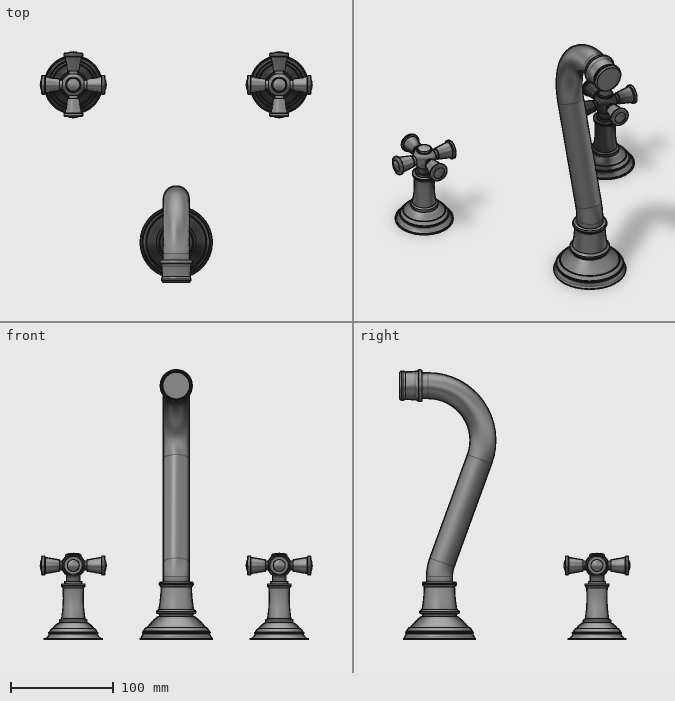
import cadquery as cq
import math

OVERALL_WIDTH = 264.2
HANDLE_SPACING = 200.0
HANDLE_OFFSET_Y = 153.0

FOOT_R = 28.3
FOOT_TOP_Z = 0.8
FOOT_LEDGE_R = 27.0
FOOT_COVE_R = 24.8
FOOT_COVE_Z = 2.6
BAND_R = 23.3
BAND_BOTTOM_Z = 5.3
BAND_TOP_Z = 7.5
BAND_FLAT = 0.65
BAND_CROWN_R = 24.0
CONE_BASE_R = 21.0
CONE_BASE_Z = 10.5
CONE_STEP = 0.8
CONE_MID_R = 17.5
CONE_MID_Z = 13.7
CONE_TOP_R = 13.2
CONE_TOP_Z = 16.5
LOWER_BEAD_R = 13.5
LOWER_BEAD_TOP_Z = 19.0
COLUMN_BASE_R = 11.4
COLUMN_BASE_Z = 20.3
COLUMN_WAIST_R = 9.8
COLUMN_WAIST_Z = 37.0
COLUMN_TOP_R = 10.0
COLUMN_TOP_Z = 50.0
UPPER_COLLAR_R = 11.5
UPPER_COLLAR_BOTTOM_Z = 51.3
UPPER_COLLAR_MID_Z = 52.5
UPPER_COLLAR_TOP_Z = 54.0
UPPER_COLLAR_EDGE_R = 11.0
CAP_DISC_R = 8.5
CAP_DISC_TOP_Z = 56.5
STEM_R = 6.5

HUB_Z = 72.0
HUB_R = 11.4
BUTTON_R = 7.5
BUTTON_RIM_Z = 82.0
BUTTON_DOME_R = 6.3
BUTTON_DOME_Z = 83.0
BUTTON_TOP_Z = 83.8

ARM_COUNT = 4
ARM_NECK_R = 4.5
ARM_CONE_START = 13.5
ARM_CONE_START_R = 5.5
ARM_CONE_END = 27.2
ARM_CONE_END_R = 8.0
ARM_RIM_R = 9.2
ARM_RIM_START = 28.0
ARM_RIM_END = 30.7
ARM_RIM_ROUND = 1.0
ARM_DOME_R = 5.8
ARM_REACH = (OVERALL_WIDTH - HANDLE_SPACING) / 2

SPOUT_FOOT_R = 35.1
SPOUT_FOOT_TOP_Z = 0.8
SPOUT_LEDGE_R = 33.8
SPOUT_LEDGE_Z = 2.5
SPOUT_BAND_R = 32.2
SPOUT_BAND_BOTTOM_Z = 5.5
SPOUT_BAND_TOP_Z = 8.2
SPOUT_BAND_FLAT = 0.8
SPOUT_BAND_MID_Z = (SPOUT_BAND_BOTTOM_Z + SPOUT_BAND_TOP_Z) / 2
SPOUT_BAND_CROWN_R = 33.0
SPOUT_CONE_BASE_R = 29.5
SPOUT_CONE_BASE_Z = 11.5
SPOUT_CONE_STEP = 1.0
SPOUT_CONE_MID_R = 23.5
SPOUT_CONE_MID_Z = 17.5
SPOUT_CONE_TOP_R = 17.5
SPOUT_CONE_TOP_Z = 22.5
SPOUT_NECK_R = 16.5
SPOUT_NECK_TOP_Z = 24.5
SPOUT_LOWER_BEAD_R = 19.3
SPOUT_LOWER_BEAD_BOTTOM_Z = 25.5
SPOUT_LOWER_BEAD_TOP_Z = 27.2
SPOUT_COLUMN_BASE_R = 17.0
SPOUT_COLUMN_BASE_Z = 29.3
SPOUT_COLUMN_MID_R = 15.3
SPOUT_COLUMN_MID_Z = 41.0
SPOUT_COLUMN_TOP_R = 14.8
SPOUT_COLUMN_TOP_Z = 51.0
SPOUT_UPPER_COLLAR_R = 16.6
SPOUT_UPPER_COLLAR_BOTTOM_Z = 52.0
SPOUT_UPPER_COLLAR_TOP_Z = 55.8
SPOUT_UPPER_COLLAR_EDGE_R = 15.9
SPOUT_UPPER_COLLAR_RIM_BOTTOM_Z = 53.5
SPOUT_UPPER_COLLAR_RIM_TOP_Z = 54.5

TUBE_R = 12.7
LOWER_BEND_Z = 61.0
LOWER_BEND_R = 40.2
LEAN_ANGLE = math.radians(20)
UPPER_BEND_R = 53.0
OUTLET_Z = 246.5

NOZZLE_START = 17.2
NOZZLE_COLLAR_R = 15.5
NOZZLE_COLLAR_EDGE_R = 14.8
NOZZLE_COLLAR_ROUND = 2.6
NOZZLE_COLLAR_ROUND_END = 19.5
NOZZLE_COLLAR_END = 20.3
NOZZLE_COVE_R = 14.5
NOZZLE_COVE_MID = 21.5
NOZZLE_SLEEVE_START_R = 14.0
NOZZLE_SLEEVE_START = 23.5
NOZZLE_SLEEVE_END_R = 13.5
NOZZLE_SLEEVE_END = 33.0
NOZZLE_LIP_R = 14.3
NOZZLE_LIP_START = 35.5
NOZZLE_LIP_END = 37.0
NOZZLE_FACE_R = 13.0
NOZZLE_END = 38.8


def turn(profile):
    """Revolve a closed profile (radius, height) about the Z axis."""
    return profile.close().revolve(360, (0, 0, 0), (0, 1, 0))


def dome_radius(rim_radius, rise):
    """Sphere radius of a shallow dome with the given rim radius and rise."""
    return (rim_radius**2 + rise**2) / (2 * rise)


def handle_pedestal():
    """Bell foot, waisted column, collar and stem up to the hub centre."""
    profile = (
        cq.Workplane("XZ")
        .lineTo(FOOT_R, 0)
        .lineTo(FOOT_R, FOOT_TOP_Z)
        .lineTo(FOOT_LEDGE_R, FOOT_TOP_Z)
        .threePointArc((FOOT_COVE_R, FOOT_COVE_Z), (BAND_R, BAND_BOTTOM_Z))
        .lineTo(BAND_R, BAND_BOTTOM_Z + BAND_FLAT)
        .threePointArc((BAND_CROWN_R, (BAND_BOTTOM_Z + BAND_TOP_Z) / 2), (BAND_R, BAND_TOP_Z - BAND_FLAT))
        .lineTo(BAND_R, BAND_TOP_Z)
        .lineTo(CONE_BASE_R, CONE_BASE_Z)
        .lineTo(CONE_BASE_R - CONE_STEP, CONE_BASE_Z)
        .threePointArc((CONE_MID_R, CONE_MID_Z), (CONE_TOP_R, CONE_TOP_Z))
        .threePointArc((LOWER_BEAD_R, (CONE_TOP_Z + LOWER_BEAD_TOP_Z) / 2), (CONE_TOP_R, LOWER_BEAD_TOP_Z))
        .lineTo(COLUMN_BASE_R, COLUMN_BASE_Z)
        .threePointArc((COLUMN_WAIST_R, COLUMN_WAIST_Z), (COLUMN_TOP_R, COLUMN_TOP_Z))
        .lineTo(UPPER_COLLAR_EDGE_R, UPPER_COLLAR_BOTTOM_Z)
        .lineTo(UPPER_COLLAR_R, UPPER_COLLAR_MID_Z)
        .lineTo(UPPER_COLLAR_R, UPPER_COLLAR_TOP_Z)
        .lineTo(CAP_DISC_R, UPPER_COLLAR_TOP_Z)
        .lineTo(CAP_DISC_R, CAP_DISC_TOP_Z)
        .lineTo(STEM_R, CAP_DISC_TOP_Z)
        .lineTo(STEM_R, HUB_Z)
        .lineTo(0, HUB_Z)
    )
    return turn(profile)


def handle_hub():
    """Ball at the centre of the cross with a domed button on top."""
    button_profile = (
        cq.Workplane("XZ")
        .moveTo(0, HUB_Z)
        .lineTo(BUTTON_R, HUB_Z)
        .lineTo(BUTTON_R, BUTTON_RIM_Z)
        .lineTo(BUTTON_DOME_R, BUTTON_DOME_Z)
        .radiusArc((0, BUTTON_TOP_Z), -dome_radius(BUTTON_DOME_R, BUTTON_TOP_Z - BUTTON_DOME_Z))
    )
    return cq.Workplane("XY", origin=(0, 0, HUB_Z)).sphere(HUB_R).union(turn(button_profile))


def handle_arm():
    """One arm, turned about Z and then laid along +X at hub height."""
    profile = (
        cq.Workplane("XZ")
        .lineTo(ARM_NECK_R, 0)
        .lineTo(ARM_NECK_R, ARM_CONE_START)
        .lineTo(ARM_CONE_START_R, ARM_CONE_START)
        .lineTo(ARM_CONE_END_R, ARM_CONE_END)
        .lineTo(ARM_RIM_R, ARM_RIM_START)
        .lineTo(ARM_RIM_R, ARM_RIM_END - ARM_RIM_ROUND)
        .radiusArc((ARM_RIM_R - ARM_RIM_ROUND, ARM_RIM_END), -ARM_RIM_ROUND)
        .lineTo(ARM_DOME_R, ARM_RIM_END)
        .radiusArc((0, ARM_REACH), -dome_radius(ARM_DOME_R, ARM_REACH - ARM_RIM_END))
    )
    return turn(profile).rotate((0, 0, 0), (0, 1, 0), 90).translate((0, 0, HUB_Z))


def handle(x, y):
    """One complete cross handle standing at (x, y)."""
    body = handle_pedestal().union(handle_hub())
    arm = handle_arm()
    for index in range(ARM_COUNT):
        body = body.union(arm.rotate((0, 0, 0), (0, 0, 1), index * 360 / ARM_COUNT))
    return body.translate((x, y, 0))


def spout_pedestal():
    """Bell foot, flared column and collar that carry the tube."""
    profile = (
        cq.Workplane("XZ")
        .lineTo(SPOUT_FOOT_R, 0)
        .lineTo(SPOUT_FOOT_R, SPOUT_FOOT_TOP_Z)
        .lineTo(SPOUT_LEDGE_R, SPOUT_LEDGE_Z)
        .lineTo(SPOUT_BAND_R, SPOUT_BAND_BOTTOM_Z)
        .lineTo(SPOUT_BAND_R, SPOUT_BAND_BOTTOM_Z + SPOUT_BAND_FLAT)
        .threePointArc(
            (SPOUT_BAND_CROWN_R, SPOUT_BAND_MID_Z),
            (SPOUT_BAND_R, SPOUT_BAND_TOP_Z - SPOUT_BAND_FLAT),
        )
        .lineTo(SPOUT_BAND_R, SPOUT_BAND_TOP_Z)
        .lineTo(SPOUT_CONE_BASE_R, SPOUT_CONE_BASE_Z)
        .lineTo(SPOUT_CONE_BASE_R - SPOUT_CONE_STEP, SPOUT_CONE_BASE_Z)
        .threePointArc((SPOUT_CONE_MID_R, SPOUT_CONE_MID_Z), (SPOUT_CONE_TOP_R, SPOUT_CONE_TOP_Z))
        .lineTo(SPOUT_NECK_R, SPOUT_CONE_TOP_Z)
        .lineTo(SPOUT_NECK_R, SPOUT_NECK_TOP_Z)
        .lineTo(SPOUT_LOWER_BEAD_R, SPOUT_LOWER_BEAD_BOTTOM_Z)
        .lineTo(SPOUT_LOWER_BEAD_R, SPOUT_LOWER_BEAD_TOP_Z)
        .lineTo(SPOUT_COLUMN_BASE_R, SPOUT_COLUMN_BASE_Z)
        .threePointArc((SPOUT_COLUMN_MID_R, SPOUT_COLUMN_MID_Z), (SPOUT_COLUMN_TOP_R, SPOUT_COLUMN_TOP_Z))
        .lineTo(SPOUT_UPPER_COLLAR_EDGE_R, SPOUT_UPPER_COLLAR_BOTTOM_Z)
        .lineTo(SPOUT_UPPER_COLLAR_R, SPOUT_UPPER_COLLAR_RIM_BOTTOM_Z)
        .lineTo(SPOUT_UPPER_COLLAR_R, SPOUT_UPPER_COLLAR_RIM_TOP_Z)
        .lineTo(SPOUT_UPPER_COLLAR_EDGE_R, SPOUT_UPPER_COLLAR_TOP_Z)
        .lineTo(0, SPOUT_UPPER_COLLAR_TOP_Z)
    )
    return turn(profile)


def spout_tube():
    """Vertical start, bend back, leaning straight run, bend forward, level outlet."""
    lean_sin = math.sin(LEAN_ANGLE)
    lean_cos = math.cos(LEAN_ANGLE)
    lean_start = (LOWER_BEND_R * (1 - lean_cos), LOWER_BEND_Z + LOWER_BEND_R * lean_sin)
    lower_mid = (
        LOWER_BEND_R * (1 - math.cos(LEAN_ANGLE / 2)),
        LOWER_BEND_Z + LOWER_BEND_R * math.sin(LEAN_ANGLE / 2),
    )
    upper_centre_z = OUTLET_Z - UPPER_BEND_R
    lean_end_z = upper_centre_z - UPPER_BEND_R * lean_sin
    lean_end_y = lean_start[0] + (lean_end_z - lean_start[1]) * math.tan(LEAN_ANGLE)
    upper_centre_y = lean_end_y - UPPER_BEND_R * lean_cos
    upper_mid = (upper_centre_y + UPPER_BEND_R, upper_centre_z)
    path = (
        cq.Workplane("YZ")
        .moveTo(0, SPOUT_COLUMN_TOP_Z)
        .lineTo(0, LOWER_BEND_Z)
        .threePointArc(lower_mid, lean_start)
        .lineTo(lean_end_y, lean_end_z)
        .threePointArc(upper_mid, (upper_centre_y, OUTLET_Z))
        .lineTo(-NOZZLE_SLEEVE_START, OUTLET_Z)
    )
    return cq.Workplane("XY", origin=(0, 0, SPOUT_COLUMN_TOP_Z)).circle(TUBE_R).sweep(path)


def nozzle():
    """Outlet sleeve, turned about Z and then laid along -Y at outlet height."""
    profile = (
        cq.Workplane("XZ")
        .moveTo(0, NOZZLE_START)
        .lineTo(NOZZLE_COLLAR_EDGE_R, NOZZLE_START)
        .radiusArc((NOZZLE_COLLAR_R, NOZZLE_COLLAR_ROUND_END), -NOZZLE_COLLAR_ROUND)
        .lineTo(NOZZLE_COLLAR_R, NOZZLE_COLLAR_END)
        .threePointArc((NOZZLE_COVE_R, NOZZLE_COVE_MID), (NOZZLE_SLEEVE_START_R, NOZZLE_SLEEVE_START))
        .lineTo(NOZZLE_SLEEVE_END_R, NOZZLE_SLEEVE_END)
        .lineTo(NOZZLE_LIP_R, NOZZLE_LIP_START)
        .lineTo(NOZZLE_LIP_R, NOZZLE_LIP_END)
        .lineTo(NOZZLE_FACE_R, NOZZLE_END)
        .lineTo(0, NOZZLE_END)
    )
    return turn(profile).rotate((0, 0, 0), (1, 0, 0), 90).translate((0, 0, OUTLET_Z))


spout = spout_pedestal().union(spout_tube()).union(nozzle())
handles = [handle(side * HANDLE_SPACING / 2, HANDLE_OFFSET_Y) for side in (-1, 1)]

result = cq.Compound.makeCompound([spout.solids().val(), *[body.solids().val() for body in handles]])